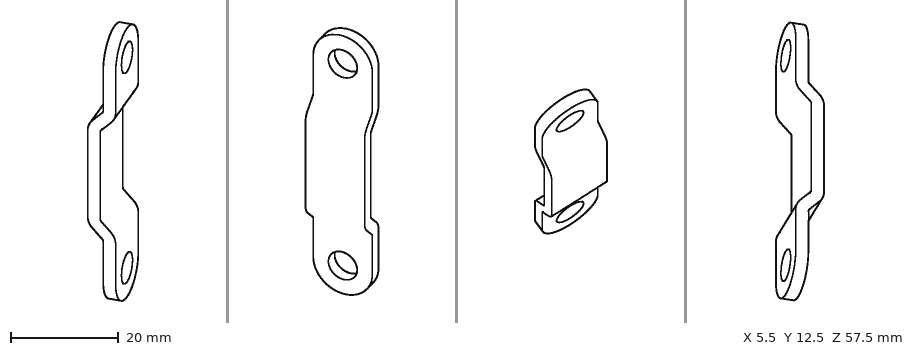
import cadquery as cq
import math

length = 57.5
width = 12.5
depth = 5.5
thickness = 2.5
hole_diameter = 6.05
bridge_half_length = 9.25
inner_radius = 0.7
bend_angle = math.radians(44)

step = depth - thickness
outer_radius = inner_radius + thickness
end_radius = width / 2
hole_offset = length / 2 - end_radius
sin_bend = math.sin(bend_angle)
cos_bend = math.cos(bend_angle)
ramp_length = (step - (inner_radius + outer_radius) * (1 - cos_bend)) / sin_bend
bend_rise = (inner_radius + outer_radius) * sin_bend + ramp_length * cos_bend
tab_start = bridge_half_length + bend_rise

bridge_bend = (outer_radius, bridge_half_length)
tab_bend = (step - inner_radius, tab_start)


def on_bridge_bend(radius, angle):
    """Point on the bend that leaves the raised middle."""
    return (bridge_bend[0] - radius * math.cos(angle), bridge_bend[1] + radius * math.sin(angle))


def on_tab_bend(radius, angle):
    """Point on the bend that meets the end tab."""
    return (tab_bend[0] + radius * math.cos(angle), tab_bend[1] - radius * math.sin(angle))


def upper_half_strip():
    """Bent strip from mid-length to the top end, extruded over the width."""
    half_angle = bend_angle / 2
    return (
        cq.Workplane("XZ")
        .moveTo(0, 0)
        .lineTo(*on_bridge_bend(outer_radius, 0))
        .threePointArc(on_bridge_bend(outer_radius, half_angle), on_bridge_bend(outer_radius, bend_angle))
        .lineTo(*on_tab_bend(inner_radius, bend_angle))
        .threePointArc(on_tab_bend(inner_radius, half_angle), on_tab_bend(inner_radius, 0))
        .lineTo(step, length / 2)
        .lineTo(depth, length / 2)
        .lineTo(*on_tab_bend(outer_radius, 0))
        .threePointArc(on_tab_bend(outer_radius, half_angle), on_tab_bend(outer_radius, bend_angle))
        .lineTo(*on_bridge_bend(inner_radius, bend_angle))
        .threePointArc(on_bridge_bend(inner_radius, half_angle), on_bridge_bend(inner_radius, 0))
        .lineTo(thickness, 0)
        .close()
        .extrude(width / 2, both=True)
    )


upper_half = upper_half_strip()
strip = upper_half.union(upper_half.mirror("XY"), clean=True)
rounded_outline = cq.Workplane("YZ").slot2D(length, width, 90).extrude(depth)
holes = (
    cq.Workplane("YZ")
    .pushPoints([(0, hole_offset), (0, -hole_offset)])
    .circle(hole_diameter / 2)
    .extrude(depth)
)
result = strip.intersect(rounded_outline).cut(holes)